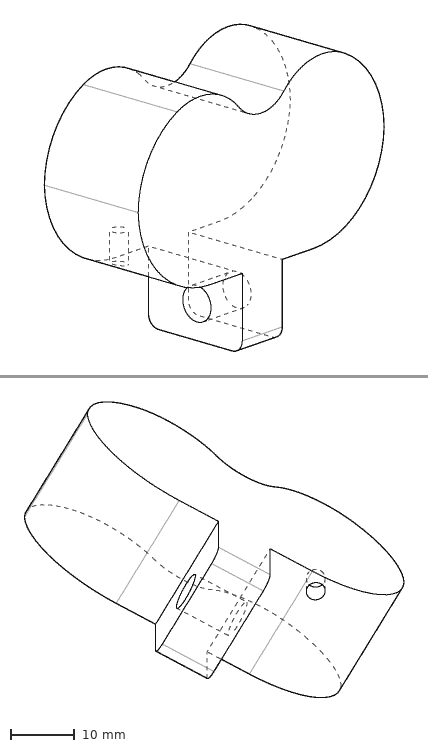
import cadquery as cq
import math

thickness = 20.0
total_width = 57.3
total_height = 45.15
body_bottom = 13.35

widest_y = total_width / 2
widest_z = 29.45
lower_radius = 16.6
upper_radius = 16.4
upper_z = 29.2
crown_radius = 12.05

lower_z = body_bottom + lower_radius
lower_y = widest_y - math.sqrt(lower_radius**2 - (lower_z - widest_z) ** 2)
upper_y = widest_y - math.sqrt(upper_radius**2 - (widest_z - upper_z) ** 2)
crown_z = total_height - crown_radius
crown_y = upper_y + math.sqrt((upper_radius - crown_radius) ** 2 - (crown_z - upper_z) ** 2)

valley_radius = 7.1

tab_y_min = -4.4
tab_y_max = 4.9
tab_corner_radius = 2.2
tab_overlap = 2.85
tab_hole_diameter = 6.0
tab_hole_x = 0.35
tab_hole_z = 6.15

bottom_hole_diameter = 3.0
bottom_hole_x = -7.3
bottom_hole_y = -14.2
bottom_hole_depth = 5.7


def on_arc(center_y, center_z, radius, angle):
    """Point (Y, Z) on a circle at an angle measured from +Y."""
    return center_y + radius * math.cos(angle), center_z + radius * math.sin(angle)


def mirrored(point):
    """Point on the opposite lobe."""
    return -point[0], point[1]


def make_body():
    valley_rise = math.sqrt((crown_radius + valley_radius) ** 2 - crown_y**2)
    valley_z = crown_z + valley_rise
    valley_angle = math.atan2(valley_rise, -crown_y)
    upper_start_angle = math.asin((widest_z - upper_z) / upper_radius)
    upper_end_angle = math.atan2(crown_z - upper_z, crown_y - upper_y)

    bottom = (lower_y, body_bottom)
    lower_mid = on_arc(lower_y, lower_z, lower_radius, -math.pi / 4)
    widest = (widest_y, widest_z)
    upper_mid = on_arc(upper_y, upper_z, upper_radius, (upper_start_angle + upper_end_angle) / 2)
    upper_end = on_arc(upper_y, upper_z, upper_radius, upper_end_angle)
    crown_top = (crown_y, total_height)
    valley_edge = on_arc(crown_y, crown_z, crown_radius, valley_angle)
    valley_low = (0, valley_z - valley_radius)

    return (
        cq.Workplane("YZ", origin=(-thickness / 2, 0, 0))
        .moveTo(*bottom)
        .threePointArc(lower_mid, widest)
        .threePointArc(upper_mid, upper_end)
        .threePointArc(crown_top, valley_edge)
        .threePointArc(valley_low, mirrored(valley_edge))
        .threePointArc(mirrored(crown_top), mirrored(upper_end))
        .threePointArc(mirrored(upper_mid), mirrored(widest))
        .threePointArc(mirrored(lower_mid), mirrored(bottom))
        .close()
        .extrude(thickness)
    )


def make_tab():
    tab_width = tab_y_max - tab_y_min
    tab = (
        cq.Workplane("XY", origin=(0, (tab_y_min + tab_y_max) / 2, 0))
        .rect(thickness, tab_width)
        .extrude(body_bottom + tab_overlap)
        .faces("<Z")
        .edges("|Y")
        .fillet(tab_corner_radius)
    )
    hole = (
        cq.Workplane("XZ", origin=(0, tab_y_max, 0))
        .center(tab_hole_x, tab_hole_z)
        .circle(tab_hole_diameter / 2)
        .extrude(tab_width)
    )
    return tab.cut(hole)


def make_bottom_hole():
    return (
        cq.Workplane("XY", origin=(bottom_hole_x, bottom_hole_y, body_bottom))
        .circle(bottom_hole_diameter / 2)
        .extrude(bottom_hole_depth)
    )


result = make_body().union(make_tab()).cut(make_bottom_hole())